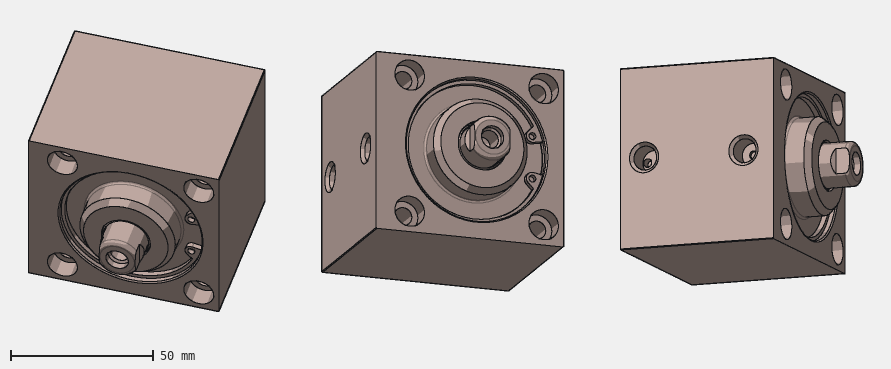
import cadquery as cq
import math


BLOCK_WIDTH = 70.0
BLOCK_HEIGHT = 65.0
BLOCK_LENGTH = 57.7
BLOCK_OFFSET_X = -2.5
BLOCK_EDGE_CHAMFER = 0.3
BLOCK_LEFT_X = BLOCK_OFFSET_X - BLOCK_WIDTH / 2

MOUNT_SPACING = 50.0
MOUNT_DIA = 6.5
MOUNT_COUNTERBORE_DIA = 11.0
MOUNT_COUNTERBORE_DEPTH = 7.0

PORT_DIA = 8.57
PORT_MOUTH_DIA = 11.0
PORT_DEPTH = 10.0
FRONT_PORT_Y = 11.3
REAR_PORT_Y = FRONT_PORT_Y + 37.5
CHANNEL_DIA = 3.0
CHANNEL_LENGTH = 4.0
REAR_CHANNEL_SHIFT = 2.5

SEAT_DIA = 52.2
SEAT_CHAMFER = 0.5
SEAT_DEPTH = 20.0
GLAND_FACE_Y = 4.2
RING_THICKNESS = 2.0
RING_FRONT_Y = GLAND_FACE_Y - RING_THICKNESS

RING_OUTER_DIA = 55.0
RING_INNER_DIA = 49.6
LUG_X = 21.6
LUG_Z = 7.8
LUG_RADIUS = 2.3
LUG_HOLE_DIA = 2.5
LUG_ROOT_LENGTH = 4.0
GAP_FLANK_ANGLE = math.radians(10)
INNER_FLANK_ANGLE = math.radians(46)
INNER_FLANK_LENGTH = 3.0

GLAND_DIA = 51.8
BOSS_DIA = 35.0
BOSS_FRONT_Y = -6.0
BOSS_ROOT_FILLET = 0.8
BOSS_CHAMFER_RADIAL = 2.0
BOSS_CHAMFER_AXIAL = 2.25
WIPER_MOUTH_DIA = 18.0
WIPER_LIP_DIA = 17.7
WIPER_THROAT_DIA = 16.54
WIPER_LIP_SETBACK = 0.3
WIPER_GROOVE_DEPTH = 1.5
WIPER_THROAT_DEPTH = 2.0

ROD_DIA = 16.0
ROD_TIP_Y = -16.8
ROD_TIP_FILLET = 1.7
FLAT_WIDTH = 13.2
FLAT_LENGTH = 5.2
ROD_HOLE_DIA = 6.65
ROD_HOLE_DEPTH = 12.0
ROD_HOLE_MOUTH_DIA = 8.25
ROD_HOLE_MOUTH_DEPTH = 2.5
DRILL_POINT_ANGLE = math.radians(118)


def revolve_profile(points):
    """Revolve a closed outline of (radius, y) points round the Y axis."""
    return cq.Workplane("XY").polyline(points).close().revolve(360, (0, 0, 0), (0, 1, 0))


def y_cylinder(dia, y_start, y_end, x=0, z=0):
    """Cylinder parallel to Y, from y_start back to y_end."""
    return cq.Workplane("XZ", origin=(x, y_start, z)).circle(dia / 2).extrude(y_start - y_end)



def make_mounting_hole(x, z):
    hole = y_cylinder(MOUNT_DIA, 0, BLOCK_LENGTH, x, z)
    return hole.union(y_cylinder(MOUNT_COUNTERBORE_DIA, 0, MOUNT_COUNTERBORE_DEPTH, x, z))


def make_gland_seat():
    seat_radius = SEAT_DIA / 2
    groove_radius = RING_OUTER_DIA / 2
    return revolve_profile([
        (0, 0),
        (seat_radius + SEAT_CHAMFER, 0),
        (seat_radius, SEAT_CHAMFER),
        (seat_radius, RING_FRONT_Y),
        (groove_radius, RING_FRONT_Y),
        (groove_radius, GLAND_FACE_Y),
        (seat_radius, GLAND_FACE_Y),
        (seat_radius, SEAT_DEPTH),
        (0, SEAT_DEPTH),
    ])


def make_port(y, channel_shift):
    """Port entering from the -X side, with a 45 degree countersink at its mouth."""
    plane = cq.Workplane("YZ", origin=(BLOCK_LEFT_X, y, 0))
    port = plane.circle(PORT_DIA / 2).extrude(PORT_DEPTH)
    countersink = cq.Solid.makeCone(
        PORT_MOUTH_DIA / 2,
        PORT_DIA / 2,
        (PORT_MOUTH_DIA - PORT_DIA) / 2,
        cq.Vector(BLOCK_LEFT_X, y, 0),
        cq.Vector(1, 0, 0),
    )
    channel = plane.center(channel_shift, 0).circle(CHANNEL_DIA / 2).extrude(PORT_DEPTH + CHANNEL_LENGTH)
    return port.union(cq.Workplane(countersink)).union(channel)


def make_housing():
    block = cq.Workplane("XY").box(BLOCK_WIDTH, BLOCK_LENGTH, BLOCK_HEIGHT)
    block = block.edges("|Y").chamfer(BLOCK_EDGE_CHAMFER)
    block = block.translate((BLOCK_OFFSET_X, BLOCK_LENGTH / 2, 0))
    half_spacing = MOUNT_SPACING / 2
    for x in (-half_spacing, half_spacing):
        for z in (-half_spacing, half_spacing):
            block = block.cut(make_mounting_hole(x, z))
    block = block.cut(make_gland_seat())
    block = block.cut(make_port(FRONT_PORT_Y, 0))
    return block.cut(make_port(REAR_PORT_Y, REAR_CHANNEL_SHIFT))



def step_along(start, angle, distance):
    """Point reached from start by going a distance at an angle to +X, in the XZ plane."""
    return (start[0] + distance * math.cos(angle), start[1] + distance * math.sin(angle))


def make_retaining_ring():
    """Open ring with a pierced lug at each end, lying on the gland face."""
    plane = cq.Workplane("XZ", origin=(0, GLAND_FACE_Y, 0))
    lug_center = (LUG_X, LUG_Z)

    gap_tangent = step_along(lug_center, GAP_FLANK_ANGLE - math.pi / 2, LUG_RADIUS)
    gap_rim = step_along(gap_tangent, GAP_FLANK_ANGLE, RING_OUTER_DIA / 2)
    inner_tangent = step_along(lug_center, INNER_FLANK_ANGLE + math.pi / 2, LUG_RADIUS)
    inner_tip = step_along(inner_tangent, INNER_FLANK_ANGLE, INNER_FLANK_LENGTH)
    root = step_along(gap_tangent, GAP_FLANK_ANGLE, LUG_ROOT_LENGTH)

    ring = plane.circle(RING_OUTER_DIA / 2).circle(RING_INNER_DIA / 2).extrude(RING_THICKNESS)
    gap_outline = [gap_tangent, gap_rim, (gap_rim[0], -gap_rim[1]), (gap_tangent[0], -gap_tangent[1])]
    ring = ring.cut(plane.polyline(gap_outline).close().extrude(RING_THICKNESS))

    web = plane.polyline([lug_center, inner_tangent, inner_tip, root, gap_tangent]).close()
    lug = web.extrude(RING_THICKNESS)
    lug = lug.union(plane.center(*lug_center).circle(LUG_RADIUS).extrude(RING_THICKNESS))
    hole = plane.center(*lug_center).circle(LUG_HOLE_DIA / 2).extrude(RING_THICKNESS)
    lug = lug.cut(hole)
    return ring.union(lug).union(lug.mirror("XY"))


def make_gland():
    rod_radius = ROD_DIA / 2
    gland_radius = GLAND_DIA / 2
    boss_radius = BOSS_DIA / 2
    wiper_groove_y = BOSS_FRONT_Y + WIPER_GROOVE_DEPTH
    wiper_throat_y = BOSS_FRONT_Y + WIPER_THROAT_DEPTH
    gland = revolve_profile([
        (rod_radius, SEAT_DEPTH),
        (gland_radius, SEAT_DEPTH),
        (gland_radius, GLAND_FACE_Y),
        (boss_radius, GLAND_FACE_Y),
        (boss_radius, BOSS_FRONT_Y + BOSS_CHAMFER_AXIAL),
        (boss_radius - BOSS_CHAMFER_RADIAL, BOSS_FRONT_Y),
        (WIPER_MOUTH_DIA / 2, BOSS_FRONT_Y),
        (WIPER_MOUTH_DIA / 2, wiper_groove_y),
        (WIPER_LIP_DIA / 2, wiper_groove_y),
        (WIPER_THROAT_DIA / 2, BOSS_FRONT_Y + WIPER_LIP_SETBACK),
        (WIPER_THROAT_DIA / 2, wiper_throat_y),
        (rod_radius, wiper_throat_y),
    ])
    boss_root = cq.selectors.BoxSelector(
        (-gland_radius, GLAND_FACE_Y - BOSS_ROOT_FILLET, -boss_radius - BOSS_ROOT_FILLET),
        (gland_radius, GLAND_FACE_Y + BOSS_ROOT_FILLET, boss_radius + BOSS_ROOT_FILLET),
        boundingbox=True,
    )
    gland = gland.edges(boss_root).fillet(BOSS_ROOT_FILLET)
    return gland.union(make_retaining_ring())



def make_rod_hole():
    """Hole in the rod tip: wide mouth, 45 degree step, drilled bore and a conical drill point."""
    hole_radius = ROD_HOLE_DIA / 2
    mouth_radius = ROD_HOLE_MOUTH_DIA / 2
    step_y = ROD_TIP_Y + ROD_HOLE_MOUTH_DEPTH
    point_y = ROD_TIP_Y + ROD_HOLE_DEPTH
    apex_y = point_y + hole_radius / math.tan(DRILL_POINT_ANGLE / 2)
    return revolve_profile([
        (0, ROD_TIP_Y),
        (mouth_radius, ROD_TIP_Y),
        (mouth_radius, step_y),
        (hole_radius, step_y + mouth_radius - hole_radius),
        (hole_radius, point_y),
        (0, apex_y),
    ])


def make_wrench_flat():
    """Cutter for the flat on the +X side, running out at 45 degrees."""
    flat_x = FLAT_WIDTH / 2
    rod_radius = ROD_DIA / 2
    flat_end_y = ROD_TIP_Y + FLAT_LENGTH
    outline = [
        (flat_x, ROD_TIP_Y),
        (flat_x, flat_end_y),
        (rod_radius, flat_end_y + rod_radius - flat_x),
        (rod_radius, ROD_TIP_Y),
    ]
    return cq.Workplane("XY").polyline(outline).close().extrude(rod_radius, both=True)


def make_rod():
    rod = y_cylinder(ROD_DIA, ROD_TIP_Y, SEAT_DEPTH)
    rod = rod.faces("<Y").edges().fillet(ROD_TIP_FILLET)
    rod = rod.cut(make_rod_hole())
    flat = make_wrench_flat()
    return rod.cut(flat).cut(flat.mirror("YZ"))


housing = make_housing()
gland = make_gland()
rod = make_rod()
result = cq.Compound.makeCompound([*housing.solids().vals(), *gland.solids().vals(), *rod.solids().vals()])